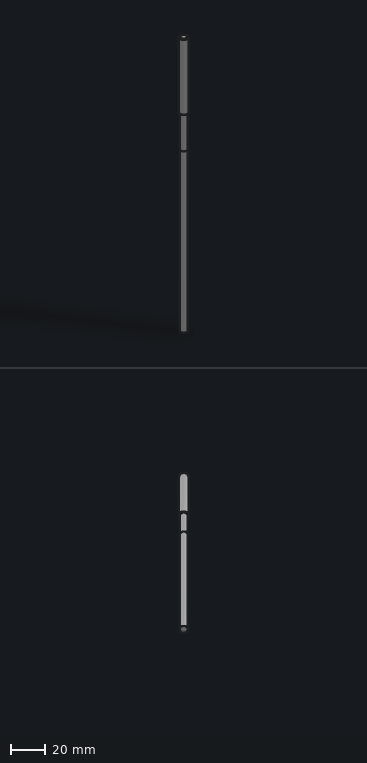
import cadquery as cq
import math

shank_diameter = 6.0
shank_length = 50.0
shank_chamfer = 0.6
cutting_diameter = 4.8
point_angle = 140.0
length_above_point = 193.0
neck_length = 24.0

shank_radius = shank_diameter / 2
cutting_radius = cutting_diameter / 2
neck_radius = cutting_radius

point_height = cutting_radius / math.tan(math.radians(point_angle / 2))
top_z = point_height + length_above_point
shank_bottom_z = top_z - shank_length
neck_bottom_z = shank_bottom_z - neck_length


def turned_body(profile):
    """Revolve a closed (radius, z) profile about Z, starting from the -Y side."""
    points = [(-radius, z) for radius, z in profile]
    return cq.Workplane("YZ").polyline(points).close().revolve(360, (0, 0), (0, 1))


shank = turned_body([
    (0, neck_bottom_z),
    (neck_radius, neck_bottom_z),
    (neck_radius, shank_bottom_z),
    (shank_radius, shank_bottom_z),
    (shank_radius, top_z - shank_chamfer),
    (shank_radius - shank_chamfer, top_z),
    (0, top_z),
])

cutting_body = turned_body([
    (0, 0),
    (cutting_radius, point_height),
    (cutting_radius, neck_bottom_z),
    (0, neck_bottom_z),
])

result = cq.Compound.makeCompound([shank.val(), cutting_body.val()])